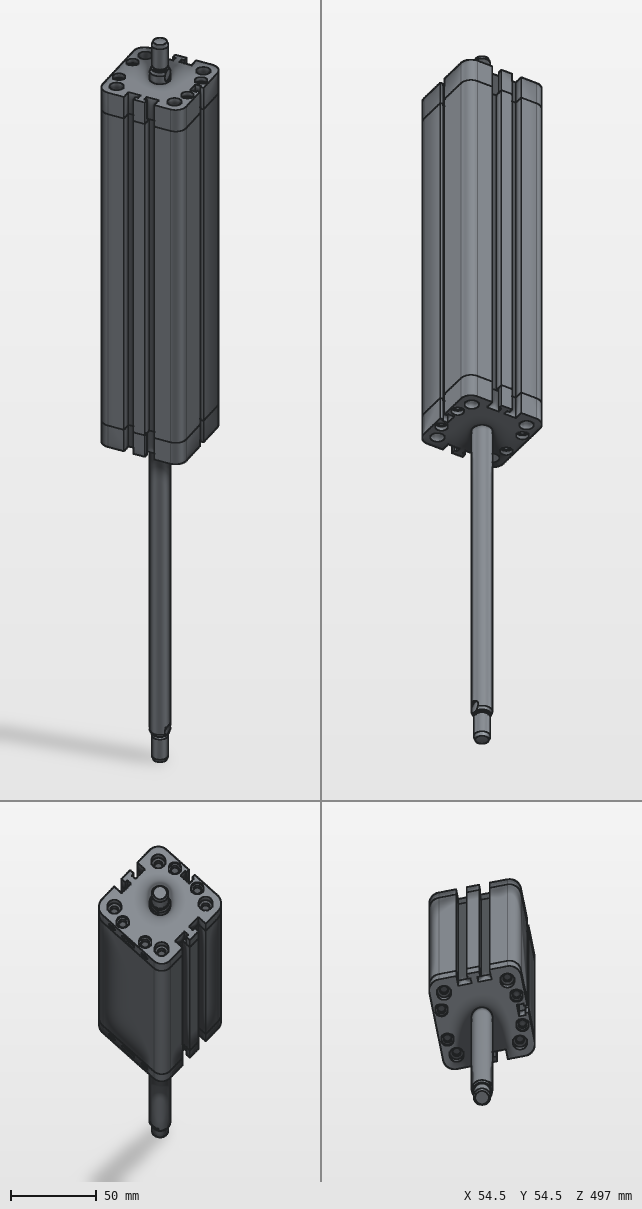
import cadquery as cq

rod_length = 248.5
top_overhang = 26.0
body_length = 245.5
cap_thickness = 15.0
tube_length = body_length - 2 * cap_thickness
body_top = rod_length - top_overhang
tube_top = body_top - cap_thickness
tube_bottom = tube_top - tube_length

width = 54.5
half_width = width / 2
corner_radius = 7.0

slot_inner_x = 3.75
slot_outer_x = 10.0
slot_depth = 6.0
slot_width = slot_outer_x - slot_inner_x
slot_centre_x = (slot_inner_x + slot_outer_x) / 2

rib_head_depth = 3.0
rib_neck_half_width = 2.0
undercut_width = slot_inner_x - rib_neck_half_width
undercut_depth = slot_depth - rib_head_depth

tee_mouth_width = 4.5
tee_lip = 2.0
tee_chamber_width = 7.0
tee_depth = 6.0
tee_chamber_depth = tee_depth - tee_lip

corner_hole_offset = 19.0
corner_hole_diameter = 8.5
corner_hole_depth = 7.5
corner_bore_diameter = 4.9
corner_bore_depth = 12.5
side_hole_x = 22.5
side_hole_y = 9.0
side_hole_diameter = 7.5
side_hole_depth = 3.0
side_bore_diameter = 5.0
side_bore_depth = 7.5

port_setback = 8.0
port_diameter = 10.0
port_bore_diameter = 8.0
port_chamfer = (port_diameter - port_bore_diameter) / 2
port_depth = 10.0
pin_hole_y = 13.0
pin_hole_diameter = 4.9
pin_hole_depth = 2.5
pin_bore_diameter = 3.0
pin_bore_depth = 5.0

rod_diameter = 12.5
shoulder_z = 230.0
shoulder_chamfer_length = 2.0
shoulder_chamfer_depth = 1.0
neck_diameter = 8.0
neck_length = 1.0
thread_diameter = 10.0
thread_start_z = 232.0
tip_diameter = 8.0
tip_length = 2.5
flat_distance = 10.0
flat_diameter = 7.5
flat_z = 226.5


def block(size_x, size_y, height, x, y):
    """Upright block with its base centred on (x, y, 0)."""
    return cq.Workplane("XY").center(x, y).rect(size_x, size_y).extrude(height)


def slotted_square(height):
    """Rounded square with the twin slots and the T-slot along its full height."""
    body = block(width, width, height, 0, 0).edges("|Z").fillet(corner_radius)
    for y in (-half_width, half_width):
        for x in (-slot_centre_x, slot_centre_x):
            body = body.cut(block(slot_width, 2 * slot_depth, height, x, y))
    chamber_x = half_width - tee_lip - tee_chamber_depth / 2
    mouth = block(2 * tee_depth, tee_mouth_width, height, half_width, 0)
    chamber = block(tee_chamber_depth, tee_chamber_width, height, chamber_x, 0)
    return body.cut(mouth).cut(chamber)


def undercut_ribs(cap):
    """Narrow both ribs of a cap to a neck behind the rib head."""
    neck_x = rib_neck_half_width + undercut_width / 2
    neck_y = half_width - rib_head_depth - undercut_depth / 2
    for y in (-neck_y, neck_y):
        for x in (-neck_x, neck_x):
            cap = cap.cut(block(undercut_width, undercut_depth, cap_thickness, x, y))
    return cap


def drill(body, plane, points, diameter, depth):
    """Cut round holes against the normal of the plane, or along it when the depth is negative."""
    holes = plane.pushPoints(points).circle(diameter / 2).extrude(-depth)
    return body.cut(holes)


def four_points(x, y):
    return [(-x, -y), (x, -y), (x, y), (-x, y)]


def make_tube():
    """Profile tube, bored for the rods."""
    tube = slotted_square(tube_length)
    rod_bore = cq.Workplane("XY").circle(rod_diameter / 2).extrude(tube_length)
    return tube.cut(rod_bore).translate((0, 0, tube_bottom))


def make_cap():
    """End cap standing on Z = 0, with its outer face up."""
    cap = undercut_ribs(slotted_square(cap_thickness))

    outer_face = cq.Workplane("XY", origin=(0, 0, cap_thickness))
    corners = four_points(corner_hole_offset, corner_hole_offset)
    sides = four_points(side_hole_x, side_hole_y)
    cap = drill(cap, outer_face, [(0, 0)], rod_diameter, cap_thickness)
    cap = drill(cap, outer_face, corners, corner_hole_diameter, corner_hole_depth)
    cap = drill(cap, outer_face, corners, corner_bore_diameter, corner_bore_depth)
    cap = drill(cap, outer_face, sides, side_hole_diameter, side_hole_depth)
    cap = drill(cap, outer_face, sides, side_bore_diameter, side_bore_depth)

    port_face = cq.Workplane("YZ", origin=(-half_width, 0, cap_thickness - port_setback))
    pins = [(-pin_hole_y, 0), (pin_hole_y, 0)]
    port_mouth = port_face.circle(port_diameter / 2).extrude(port_chamfer, taper=45)
    cap = drill(cap.cut(port_mouth), port_face, [(0, 0)], port_bore_diameter, -port_depth)
    cap = drill(cap, port_face, pins, pin_hole_diameter, -pin_hole_depth)
    return drill(cap, port_face, pins, pin_bore_diameter, -pin_bore_depth)


def make_rod():
    """Rod from Z = 0 up to its threaded end, with a round spot flat on the -X and +X sides."""
    rod_radius = rod_diameter / 2
    neck_radius = neck_diameter / 2
    thread_radius = thread_diameter / 2
    profile = [
        (0, 0),
        (rod_radius, 0),
        (rod_radius, shoulder_z - shoulder_chamfer_length),
        (rod_radius - shoulder_chamfer_depth, shoulder_z),
        (neck_radius, shoulder_z),
        (neck_radius, shoulder_z + neck_length),
        (thread_radius, thread_start_z),
        (thread_radius, rod_length - tip_length),
        (tip_diameter / 2, rod_length),
        (0, rod_length),
    ]
    rod = cq.Workplane("XZ").polyline(profile).close().revolve(360, (0, 0, 0), (0, 1, 0))
    for side in (-1, 1):
        flat = cq.Workplane("YZ", origin=(side * flat_distance / 2, 0, flat_z))
        rod = rod.cut(flat.circle(flat_diameter / 2).extrude(side * rod_radius))
    return rod


def upright_and_inverted(body):
    """The body and a copy turned upside down about the X axis."""
    return [body.rotate((0, 0, 0), (1, 0, 0), angle) for angle in (0, 180)]


tube = make_tube()

caps = []
for cap, base_z in zip(upright_and_inverted(make_cap()), (tube_top, tube_bottom)):
    caps.append(cap.translate((0, 0, base_z)))

rods = upright_and_inverted(make_rod())

solids = [tube.val()]
for body in caps + rods:
    solids.append(body.val())
result = cq.Compound.makeCompound(solids)